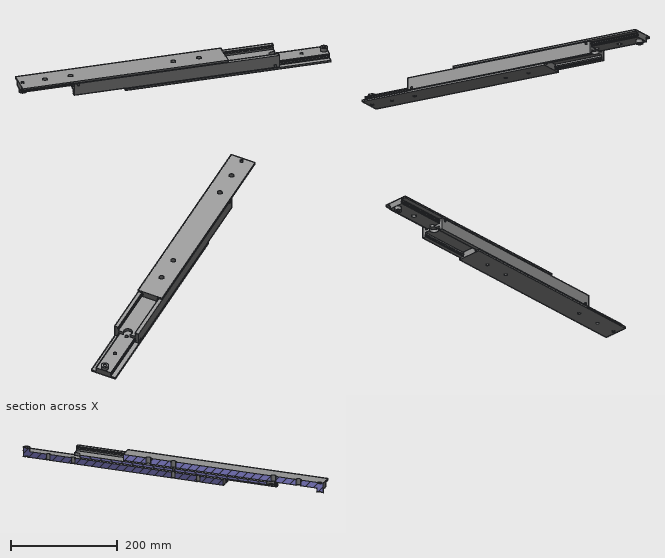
import cadquery as cq

total_length = 600.0
width = 50.0
total_height = 34.0

member_length = total_length * 2 / 3
extension = total_length / 6
center_y = total_length / 2

plate_thickness = 3.5
rail_depth = 12.5
tongue_width = 31.0

beam_height = 24.0
channel_width = 35.0
web_thickness = 6.0

groove_height = 9.0
groove_depth = 1.0
groove_mouth = 5.0
groove_floor = 1.0

mount_spacing = total_length / 12
mount_positions = [step * mount_spacing for step in (1, 2, 6, 7)]
upper_mount_diameter = 9.0
lower_mount_diameter = 6.0

stop_diameter = 13.0
stop_height = 7.0
stop_end_distance = stop_diameter / 2

stop_recess_diameter = 6.0
stop_recess_depth = 2.0

notch_diameter = 17.0
notch_depth = 13.0
center_hole_diameter = 3.0
side_hole_diameter = 4.0
side_hole_end_distance = 8.5


def extrude_along_y(points, start, length):
    """Extrude a closed X-Z outline from y = start toward +Y."""
    return cq.Workplane("XZ", origin=(0, start, 0)).polyline(points).close().extrude(-length)


def vertical_cylinder(diameter, y, bottom, height):
    """Cylinder along Z on the slide's center line."""
    return cq.Workplane("XY", origin=(0, y, bottom)).circle(diameter / 2).extrude(height)


def groove_points(face_x, floor_x):
    """Trapezoidal groove corners on the +X side, listed from top to bottom."""
    return [
        (face_x, groove_height + groove_mouth / 2),
        (floor_x, groove_height + groove_floor / 2),
        (floor_x, groove_height - groove_floor / 2),
        (face_x, groove_height - groove_mouth / 2),
    ]


def mirrored_in_x(points):
    """Complete a +X half outline with its mirror image."""
    return points + [(-x, z) for x, z in reversed(points)]


def make_conical_recess(stop_bottom):
    """Cone cutter that dimples the free face of the stop buffer."""
    cone = cq.Solid.makeCone(
        stop_recess_diameter / 2,
        0,
        stop_recess_depth,
        cq.Vector(0, stop_end_distance, stop_bottom),
        cq.Vector(0, 0, 1),
    )
    return cq.Workplane(obj=cone)


def make_rail(mount_diameter):
    """Rail in its upper place, with its outer end at y = 0."""
    top = total_height / 2
    shoulder = top - plate_thickness
    inner_face = top - rail_depth
    tongue_x = tongue_width / 2
    half_outline = [
        (width / 2, top),
        (width / 2, shoulder),
        (tongue_x, shoulder),
        *groove_points(tongue_x, tongue_x - groove_depth),
        (tongue_x, inner_face),
    ]
    rail = extrude_along_y(mirrored_in_x(half_outline), 0, member_length)
    for y in mount_positions:
        rail = rail.cut(vertical_cylinder(mount_diameter, y, inner_face, rail_depth))

    stop_bottom = inner_face - stop_height
    rail = rail.union(vertical_cylinder(stop_diameter, stop_end_distance, stop_bottom, stop_height))
    rail = rail.cut(make_conical_recess(stop_bottom))
    bore_bottom = top - stop_recess_depth
    bore = vertical_cylinder(stop_recess_diameter, stop_end_distance, bore_bottom, stop_recess_depth)
    return rail.cut(bore)


def turned_over(body):
    """Turn a body half a turn about the X axis through the middle of the slide."""
    return body.rotate((0, center_y, 0), (1, center_y, 0), 180)


def make_end_notch():
    """Round cutter that bites into the -Y end of the web."""
    notch_y = extension + notch_depth - notch_diameter / 2
    return vertical_cylinder(notch_diameter, notch_y, -web_thickness / 2, web_thickness)


def make_side_hole():
    """Cross hole through both flanges at the -Y end, level with the upper ball grooves."""
    y = extension + side_hole_end_distance
    return (
        cq.Workplane("YZ", origin=(-width / 2, y, groove_height))
        .circle(side_hole_diameter / 2)
        .extrude(width)
    )


def make_beam():
    """H-shaped beam whose flanges carry a ball groove above and below the web."""
    channel_x = channel_width / 2
    quarter_outline = [
        (width / 2, beam_height / 2),
        (channel_x, beam_height / 2),
        *groove_points(channel_x, channel_x + groove_depth),
        (channel_x, web_thickness / 2),
    ]
    upper_outline = mirrored_in_x(quarter_outline)
    outline = upper_outline + [(-x, -z) for x, z in upper_outline]
    beam = extrude_along_y(outline, extension, member_length)
    for cutter in (make_end_notch(), make_side_hole()):
        beam = beam.cut(cutter).cut(turned_over(cutter))
    center_hole = vertical_cylinder(center_hole_diameter, center_y, -web_thickness / 2, web_thickness)
    return beam.cut(center_hole)


upper_rail = make_rail(upper_mount_diameter)
lower_rail = turned_over(make_rail(lower_mount_diameter))
beam = make_beam()

bodies = [body.translate((0, -center_y, 0)).val() for body in (upper_rail, beam, lower_rail)]
result = cq.Compound.makeCompound(bodies)